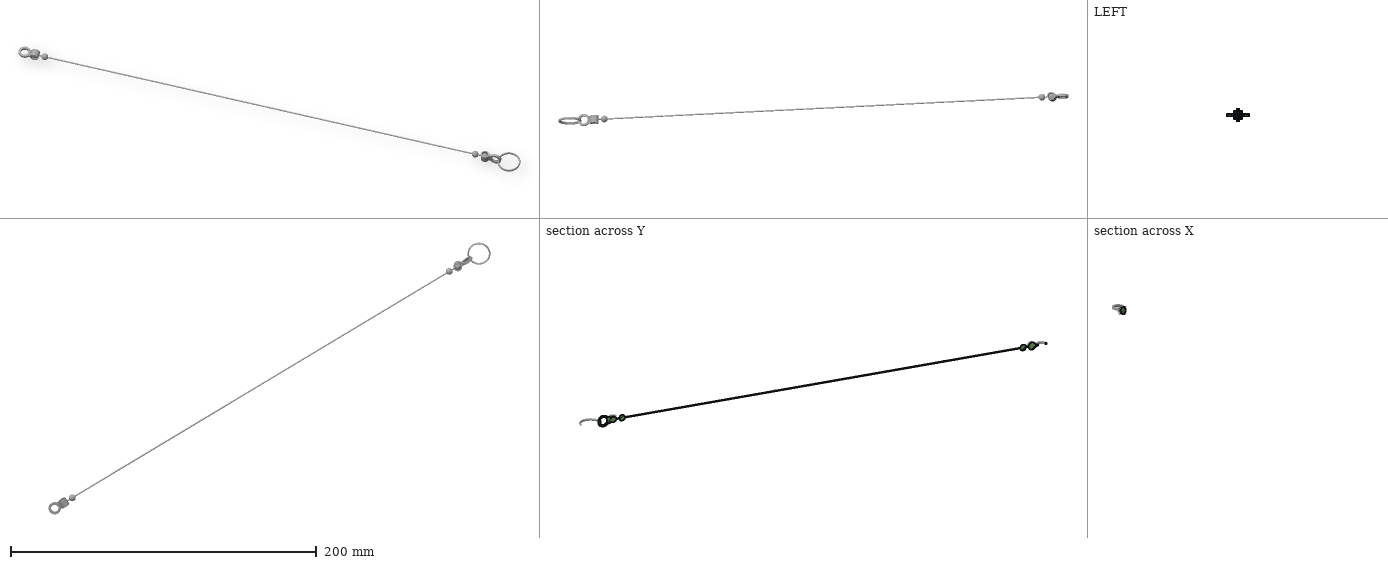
import cadquery as cq

total_length = 340.48
ball_diameter = 4.4
cord_diameter = 0.91

ring_outer_diameter = 15.0
ring_wire_width = 1.0
ring_wire_height = 1.7

eye_outer_diameter = 8.0
eye_hole_diameter = 5.0
eye_thickness = 1.5
sleeve_outer_diameter = 5.4
sleeve_bore_diameter = 4.0
sleeve_width = 5.0
neck_thickness = 1.0
saddle_thickness = 2.6

eye_to_sleeve = 7.05
sleeve_to_ball = 6.6
eye_to_saddle = 4.3
eye_ring_overlap = 2.2

left_eye_x = -total_length / 2 + eye_outer_diameter / 2
ring_x = total_length / 2 - ring_outer_diameter / 2
ring_left_x = ring_x - ring_outer_diameter / 2
right_eye_x = ring_left_x + eye_ring_overlap - eye_outer_diameter / 2
eye_to_ball = eye_to_sleeve + sleeve_to_ball


def ball(x):
    return cq.Workplane("XZ", origin=(x, 0, 0)).sphere(ball_diameter / 2)


def slab(thickness, start_x, end_x):
    """Flat piece as wide as the sleeve, centred on the X axis."""
    middle_x = (start_x + end_x) / 2
    return cq.Workplane("XY", origin=(middle_x, 0, 0)).box(end_x - start_x, sleeve_width, thickness)


def eye():
    return (
        cq.Workplane("XY", origin=(0, 0, -eye_thickness / 2))
        .circle(eye_outer_diameter / 2)
        .circle(eye_hole_diameter / 2)
        .extrude(eye_thickness)
    )


def sleeve():
    """Tube with its axis along Y, and the saddle and neck that tie it to the eye."""
    sleeve_start = cq.Workplane("XZ", origin=(eye_to_sleeve, sleeve_width / 2, 0))
    tube = sleeve_start.circle(sleeve_outer_diameter / 2).extrude(sleeve_width)
    bore = sleeve_start.circle(sleeve_bore_diameter / 2).extrude(sleeve_width)
    neck_start = (eye_outer_diameter / 2 + eye_hole_diameter / 2) / 2
    neck = slab(neck_thickness, neck_start, eye_to_sleeve)
    saddle = slab(saddle_thickness, eye_to_saddle, eye_to_sleeve)
    return tube.union(neck).union(saddle).cut(bore)


def swivel():
    """Eye flat in XY at the origin, with the sleeve and the ball caught in it further along +X."""
    return eye().union(sleeve()).union(ball(eye_to_sleeve))


def key_ring():
    """Oval wire swept round a vertical axis."""
    wire_center_radius = (ring_outer_diameter - ring_wire_width) / 2
    return (
        cq.Workplane("XZ")
        .center(wire_center_radius, 0)
        .ellipse(ring_wire_width / 2, ring_wire_height / 2)
        .revolve(360, (-wire_center_radius, 0), (-wire_center_radius, 1))
        .translate((ring_x, 0, 0))
    )


def cord():
    """Thin round cord that joins the two sleeve balls."""
    left_end = left_eye_x + eye_to_sleeve
    right_end = right_eye_x - eye_to_sleeve
    cord_start = cq.Plane((left_end, 0, 0), (0, -1, 0), (1, 0, 0))
    return cq.Workplane(cord_start).circle(cord_diameter / 2).extrude(right_end - left_end)


def left_swivel():
    return swivel().translate((left_eye_x, 0, 0))


def right_swivel():
    """The same swivel facing the other way, with its eye turned upright into XZ."""
    return (
        swivel()
        .rotate((0, 0, 0), (0, 0, 1), 180)
        .rotate((0, 0, 0), (1, 0, 0), 90)
        .translate((right_eye_x, 0, 0))
    )


result = left_swivel().union(right_swivel()).union(key_ring()).union(cord())
for ball_x in (left_eye_x + eye_to_ball, right_eye_x - eye_to_ball):
    result = result.union(ball(ball_x))